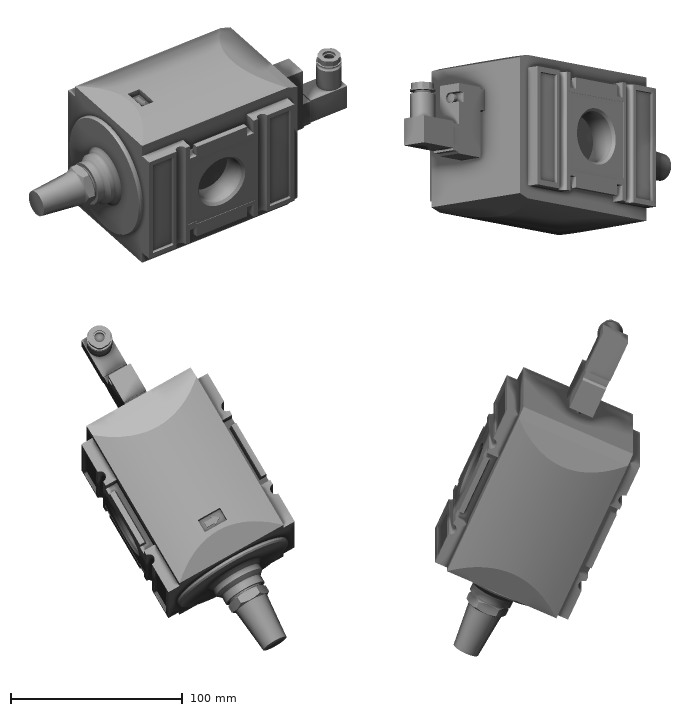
import cadquery as cq
import math


BODY_WIDTH = 85.0
BODY_HEIGHT = 85.0
OVERALL_HEIGHT = 93.2
CORE_WIDTH = 70.0
BODY_LENGTH = 102.0
BACK_EXTENSION = 7.0
BACK_FACE_HALF_HEIGHT = 40.2
DOME_SLOPE_RUN = 15.3

HALF_WIDTH = BODY_WIDTH / 2
HALF_HEIGHT = BODY_HEIGHT / 2
HALF_CORE = CORE_WIDTH / 2
HALF_LENGTH = BODY_LENGTH / 2
DOME_TOP = OVERALL_HEIGHT / 2
FRONT_Y = -HALF_LENGTH
BACK_Y = HALF_LENGTH + BACK_EXTENSION

RECESS_HALF_LENGTH = 22.3
NOTCH_FLOOR_Z = 26.0
LUG_HALF_LENGTH = 17.7
LUG_TOP_Z = 32.5
LUG_TOP_THICKNESS = 3.2
LUG_ROOT_THICKNESS = 4.5

GROOVE_DIAMETER = 6.4
GROOVE_Y = 28.5
POCKET_DEPTH = 2.0
POCKET_LENGTH = 14.3
POCKET_HEIGHT = 63.8
POCKET_Y = 41.0
POCKET_CORNER_RADIUS = 0.9

SEAT_SIZE = 46.8
SEAT_DEPTH = 0.2
SEAT_STEP = 2.0
PORT_DIAMETER = 30.2
PORT_MOUTH_DIAMETER = 33.6
PORT_DEPTH = 16.8

WINDOW_WIDTH = 15.0
WINDOW_LENGTH = 8.3
WINDOW_Y = -28.5
ARROW_HEIGHT = 1.0
ARROW_TAIL_X = -4.7
ARROW_HEAD_X = 0.5
ARROW_TIP_X = 5.1
ARROW_SHAFT_HALF = 1.7
ARROW_HEAD_HALF = 2.8

COVER_NECK_DIAMETER = 63.8
COVER_GAP = 0.6
COVER_DIAMETER = 73.6
COVER_CHAMFER = 0.6
COVER_EDGE_Y = -53.0
COVER_FACE_Y = -54.0
CONE_BASE_DIAMETER = 36.2
COLLAR_DIAMETER = 31.0
COLLAR_START_Y = -56.5
COLLAR_END_Y = -59.8
BOSS_DIAMETER = 26.0
BOSS_START_Y = -62.3
BOSS_END_Y = -67.0

NECK_DIAMETER = 21.7
HEX_FLATS = 22.0
HEX_FACE_DIAMETER = 20.9
HEX_START_Y = -67.9
HEX_END_Y = -74.3
HEX_CHAMFER_ANGLE = 30.0
CONE_ROOT_DIAMETER = 21.0
CONE_TIP_DIAMETER = 15.7
TIP_Y = -101.7

OVERALL_LENGTH = 212.8
VALVE_END_Y = TIP_Y + OVERALL_LENGTH
VALVE_WIDTH = 15.0
VALVE_FRONT_Y = 62.0
VALVE_REAR_Y = 80.5
VALVE_TOP_Z = 25.3
VALVE_BOTTOM_Z = -16.4
NOSE_TOP_Z = 1.0
NOSE_BOTTOM_Z = -15.1
NOSE_CHAMFER_Y = 81.7

PAD_WIDTH = 14.7
PAD_TOP_Z = 25.1
PAD_BOTTOM_Z = 11.0
PAD_BULGE = 0.9
PIN_Z = -4.5
PIN_DIAMETER = 3.0
PIN_ROOT_DIAMETER = 2.0
PIN_STEP_Y = 60.2

SLOT_HEIGHT = 6.0
SLOT_Z = 17.5
SLOT_DEPTH = 4.0
SCREW_DIAMETER = 5.5
SCREW_HEIGHT = 2.8

PLUG_WIDTH = 16.0
PLUG_LENGTH = 25.5
PLUG_TOP_Z = 2.1
TOWER_DIAMETER = 15.0
TOWER_TOP_Z = 16.5
TOWER_CHAMFER = 0.5
TOWER_NECK_DIAMETER = 10.0
CAP_RIM_Z = 18.3
CAP_RIM_THICKNESS = 0.9
CAP_TOP_Z = 22.8
CAP_FLATS = 13.0
CAP_CORNER_DIAMETER = 13.6
CABLE_MOUTH_DIAMETER = 7.7
CABLE_MOUTH_DEPTH = 1.5
CABLE_HOLE_DIAMETER = 6.0
CABLE_HOLE_DEPTH = 4.3


def box(x_range, y_range, z_range):
    """Box between two limits on each axis."""
    (x0, x1), (y0, y1), (z0, z1) = x_range, y_range, z_range
    return cq.Workplane("XY").box(x1 - x0, y1 - y0, z1 - z0, centered=False).translate((x0, y0, z0))


def turned(profile):
    """Solid of revolution about the Y axis from (radius, y) points; closes along the axis."""
    closed = [(0, profile[0][1])] + profile + [(0, profile[-1][1])]
    return cq.Workplane("XY").polyline(closed).close().revolve(360, (0, 0), (0, 1))


def cylinder_y(diameter, y_start, y_end, z=0.0):
    """Cylinder centred on the YZ plane, parallel to the Y axis."""
    disc = cq.Workplane("XZ", origin=(0, y_start, z)).circle(diameter / 2)
    return disc.extrude(y_start - y_end)


def cylinder_z(diameter, y, z_start, z_end):
    """Cylinder centred on the YZ plane, parallel to the Z axis."""
    return cq.Workplane("XY", origin=(0, y, z_start)).circle(diameter / 2).extrude(z_end - z_start)


def both_sides(shape):
    """The shape together with its mirror image across the YZ plane."""
    return shape.union(shape.mirror("YZ"))


def housing_core():
    """Domed core with sloped facets at its ends."""
    section = (
        cq.Workplane("XZ", origin=(0, BACK_Y, 0))
        .moveTo(-HALF_CORE, -HALF_HEIGHT)
        .threePointArc((0, -DOME_TOP), (HALF_CORE, -HALF_HEIGHT))
        .lineTo(HALF_CORE, HALF_HEIGHT)
        .threePointArc((0, DOME_TOP), (-HALF_CORE, HALF_HEIGHT))
        .close()
        .extrude(BACK_Y - FRONT_Y)
    )
    upper = [
        (FRONT_Y, HALF_HEIGHT),
        (FRONT_Y + DOME_SLOPE_RUN, DOME_TOP),
        (HALF_LENGTH - DOME_SLOPE_RUN, DOME_TOP),
        (HALF_LENGTH, HALF_HEIGHT),
        (BACK_Y, BACK_FACE_HALF_HEIGHT),
    ]
    lower = [(y, -z) for y, z in reversed(upper)]
    side_outline = cq.Workplane("YZ").polyline(upper + lower).close().extrude(HALF_CORE, both=True)
    return section.intersect(side_outline)


def clamp_recess():
    """Recess in the top edge of the -X flange, with the hooked clamp lug left standing in it."""
    recess = box(
        (-HALF_WIDTH, -HALF_CORE),
        (-RECESS_HALF_LENGTH, RECESS_HALF_LENGTH),
        (NOTCH_FLOOR_Z, HALF_CORE),
    )
    lug = (
        cq.Workplane("XZ", origin=(0, LUG_HALF_LENGTH, 0))
        .polyline([
            (-HALF_WIDTH, NOTCH_FLOOR_Z),
            (-HALF_WIDTH, LUG_TOP_Z),
            (-HALF_WIDTH + LUG_TOP_THICKNESS, LUG_TOP_Z),
            (-HALF_WIDTH + LUG_ROOT_THICKNESS, NOTCH_FLOOR_Z),
        ])
        .close()
        .extrude(2 * LUG_HALF_LENGTH)
    )
    return recess.cut(lug)


def port_seat():
    """Shallow square seat around the port, stepped in its lower front corner."""
    half = SEAT_SIZE / 2
    outline = [
        (-half, half),
        (half, half),
        (half, -half),
        (-LUG_HALF_LENGTH, -half),
        (-LUG_HALF_LENGTH, -half + SEAT_STEP),
        (-half, -half + SEAT_STEP),
    ]
    return cq.Workplane("YZ", origin=(-HALF_WIDTH, 0, 0)).polyline(outline).close().extrude(SEAT_DEPTH)


def port_hole():
    """Blind port with a 45 degree chamfer at its mouth."""
    radius = PORT_DIAMETER / 2
    mouth_radius = PORT_MOUTH_DIAMETER / 2
    mouth_x = -HALF_WIDTH
    throat_x = mouth_x + mouth_radius - radius
    floor_x = mouth_x + PORT_DEPTH
    outline = [(mouth_x, 0), (mouth_x, mouth_radius), (throat_x, radius), (floor_x, radius), (floor_x, 0)]
    return cq.Workplane("XY").polyline(outline).close().revolve(360, (0, 0), (1, 0))


def side_cuts():
    """Everything cut into the -X flange."""
    upper_recess = clamp_recess()
    cuts = upper_recess.union(upper_recess.mirror("XY")).union(port_seat()).union(port_hole())
    for end in (-1, 1):
        groove = (
            cq.Workplane("XY", origin=(-HALF_WIDTH, end * GROOVE_Y, 0))
            .circle(GROOVE_DIAMETER / 2)
            .extrude(HALF_CORE, both=True)
        )
        pocket = (
            cq.Workplane("YZ", origin=(-HALF_WIDTH, end * POCKET_Y, 0))
            .rect(POCKET_LENGTH, POCKET_HEIGHT)
            .extrude(POCKET_DEPTH)
            .edges("|X and >Y")
            .fillet(POCKET_CORNER_RADIUS)
        )
        cuts = cuts.union(groove).union(pocket)
    return cuts


def arrow_window():
    """Window down to the flat height of the housing, with the raised arrow left in it."""
    half_width = WINDOW_WIDTH / 2
    window = box(
        (-half_width, half_width),
        (WINDOW_Y - WINDOW_LENGTH / 2, WINDOW_Y + WINDOW_LENGTH / 2),
        (HALF_HEIGHT, DOME_TOP),
    )
    upper = [
        (ARROW_TAIL_X, ARROW_SHAFT_HALF),
        (ARROW_HEAD_X, ARROW_SHAFT_HALF),
        (ARROW_HEAD_X, ARROW_HEAD_HALF),
    ]
    lower = [(x, -y) for x, y in reversed(upper)]
    arrow = (
        cq.Workplane("XY", origin=(0, WINDOW_Y, HALF_HEIGHT))
        .polyline(upper + [(ARROW_TIP_X, 0)] + lower)
        .close()
        .extrude(ARROW_HEIGHT)
    )
    return window.cut(arrow)


def front_cover():
    """Turned cover disc and stepped boss on the front face."""
    gap_end_y = FRONT_Y - COVER_GAP
    cover_radius = COVER_DIAMETER / 2
    return turned([
        (COVER_NECK_DIAMETER / 2, FRONT_Y),
        (COVER_NECK_DIAMETER / 2, gap_end_y),
        (cover_radius, gap_end_y),
        (cover_radius, COVER_EDGE_Y),
        (cover_radius - COVER_CHAMFER, COVER_FACE_Y),
        (CONE_BASE_DIAMETER / 2, COVER_FACE_Y),
        (COLLAR_DIAMETER / 2, COLLAR_START_Y),
        (COLLAR_DIAMETER / 2, COLLAR_END_Y),
        (BOSS_DIAMETER / 2, BOSS_START_Y),
        (BOSS_DIAMETER / 2, BOSS_END_Y),
    ])


def make_housing():
    flanges = box(
        (-HALF_WIDTH, HALF_WIDTH),
        (-HALF_LENGTH, HALF_LENGTH),
        (-HALF_CORE, HALF_CORE),
    )
    body = housing_core().union(flanges)
    body = body.cut(both_sides(side_cuts())).cut(arrow_window())
    return body.union(front_cover())


def make_silencer():
    """Hexagon with chamfered ends between a short neck and a long tapered sleeve."""
    corner_radius = HEX_FLATS / math.sqrt(3)
    face_radius = HEX_FACE_DIAMETER / 2
    chamfer_length = (corner_radius - face_radius) * math.tan(math.radians(HEX_CHAMFER_ANGLE))
    hexagon = (
        cq.Workplane("XZ", origin=(0, HEX_START_Y, 0))
        .polygon(6, 2 * corner_radius)
        .extrude(HEX_START_Y - HEX_END_Y)
    )
    chamfered_ends = turned([
        (face_radius, HEX_START_Y),
        (corner_radius, HEX_START_Y - chamfer_length),
        (corner_radius, HEX_END_Y + chamfer_length),
        (face_radius, HEX_END_Y),
    ])
    sleeve = turned([
        (CONE_ROOT_DIAMETER / 2, HEX_END_Y),
        (CONE_TIP_DIAMETER / 2, TIP_Y),
    ])
    neck = cylinder_y(NECK_DIAMETER, BOSS_END_Y, HEX_START_Y)
    return hexagon.intersect(chamfered_ends).union(sleeve).union(neck)


def valve_block():
    """Valve block with its rear nose and the set-back adjusting screw in its side slot."""
    plug_front_y = VALVE_END_Y - PLUG_LENGTH
    half_width = VALVE_WIDTH / 2
    block = (
        cq.Workplane("YZ")
        .polyline([
            (VALVE_FRONT_Y, VALVE_TOP_Z),
            (VALVE_REAR_Y, VALVE_TOP_Z),
            (VALVE_REAR_Y, NOSE_TOP_Z),
            (plug_front_y, NOSE_TOP_Z),
            (plug_front_y, NOSE_BOTTOM_Z),
            (NOSE_CHAMFER_Y, NOSE_BOTTOM_Z),
            (VALVE_REAR_Y, VALVE_BOTTOM_Z),
            (VALVE_FRONT_Y, VALVE_BOTTOM_Z),
        ])
        .close()
        .extrude(half_width, both=True)
    )
    slot_floor_y = VALVE_REAR_Y - SLOT_DEPTH
    slot = box(
        (-half_width, 0),
        (slot_floor_y, VALVE_REAR_Y),
        (SLOT_Z - SLOT_HEIGHT / 2, SLOT_Z + SLOT_HEIGHT / 2),
    )
    slot_end = cylinder_y(SLOT_HEIGHT, slot_floor_y, VALVE_REAR_Y, SLOT_Z)
    screw = cylinder_y(SCREW_DIAMETER, slot_floor_y, slot_floor_y + SCREW_HEIGHT, SLOT_Z)
    return block.cut(slot).cut(slot_end).union(screw)


def mounting_pad():
    """Pad with bulged top and bottom that carries the valve on the housing, and its locating pin."""
    half_width = PAD_WIDTH / 2
    pad = (
        cq.Workplane("XZ", origin=(0, VALVE_FRONT_Y, 0))
        .moveTo(-half_width, PAD_BOTTOM_Z + PAD_BULGE)
        .threePointArc((0, PAD_BOTTOM_Z), (half_width, PAD_BOTTOM_Z + PAD_BULGE))
        .lineTo(half_width, PAD_TOP_Z - PAD_BULGE)
        .threePointArc((0, PAD_TOP_Z), (-half_width, PAD_TOP_Z - PAD_BULGE))
        .close()
        .extrude(VALVE_FRONT_Y - BACK_Y)
    )
    pin = cylinder_y(PIN_DIAMETER, BACK_Y, PIN_STEP_Y, PIN_Z)
    pin_root = cylinder_y(PIN_ROOT_DIAMETER, PIN_STEP_Y, VALVE_FRONT_Y, PIN_Z)
    return pad.union(pin).union(pin_root)


def cable_plug():
    """Square plug with the cable gland standing on it."""
    half_width = PLUG_WIDTH / 2
    gland_y = VALVE_END_Y - TOWER_DIAMETER / 2
    block = box(
        (-half_width, half_width),
        (VALVE_END_Y - PLUG_LENGTH, VALVE_END_Y),
        (PLUG_TOP_Z - PLUG_WIDTH, PLUG_TOP_Z),
    )
    tower = cylinder_z(TOWER_DIAMETER, gland_y, PLUG_TOP_Z, TOWER_TOP_Z).faces(">Z").chamfer(TOWER_CHAMFER)
    neck = cylinder_z(TOWER_NECK_DIAMETER, gland_y, TOWER_TOP_Z, CAP_RIM_Z)
    rim_top_z = CAP_RIM_Z + CAP_RIM_THICKNESS
    rim = cylinder_z(TOWER_DIAMETER, gland_y, CAP_RIM_Z, rim_top_z)
    cap = (
        cq.Workplane("XY", origin=(0, gland_y, rim_top_z))
        .polygon(6, 2 * CAP_FLATS / math.sqrt(3))
        .extrude(CAP_TOP_Z - rim_top_z)
        .intersect(cylinder_z(CAP_CORNER_DIAMETER, gland_y, rim_top_z, CAP_TOP_Z))
    )
    mouth = cylinder_z(CABLE_MOUTH_DIAMETER, gland_y, CAP_TOP_Z - CABLE_MOUTH_DEPTH, CAP_TOP_Z)
    hole = cylinder_z(CABLE_HOLE_DIAMETER, gland_y, CAP_TOP_Z - CABLE_HOLE_DEPTH, CAP_TOP_Z)
    return block.union(tower).union(neck).union(rim).union(cap).cut(mouth).cut(hole)


def make_pilot_valve():
    return valve_block().union(mounting_pad()).union(cable_plug())


housing = make_housing()
silencer = make_silencer()
pilot_valve = make_pilot_valve()

result = cq.Compound.makeCompound([housing.val(), silencer.val(), pilot_valve.val()])